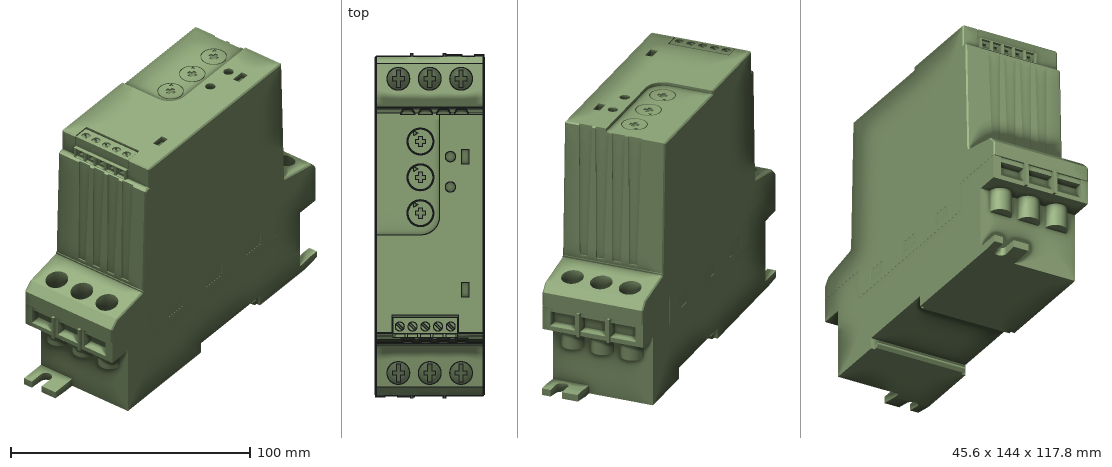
import cadquery as cq
import math

width = 45.6
length = 144.0
height = 117.8
half_width = width / 2
overrun = 1.5

seam_step = 0.07
base_width = width - 2 * seam_step
base_half_length = 59.8
base_top = 42.5
ledge_bottom = 31.7
ledge_half_length = 70.5

edge_chamfer = 0.6
skirt_bottom = 29.2
skirt_half_length = 42.6
skirt_corner_radius = 0.7
housing_half_length = 71.0
nose_bottom = 49.0
nose_top = 52.4
nose_front_y = -67.2
nose_rear_y = 68.0
shoulder_height = 55.9
shoulder_half_length = 49.2
plinth_top = 56.6
plinth_half_length = 49.7
tower_taper = 1 / 30
shelf_height = 108.0
shelf_bevel_drop = 0.9
shelf_edge_y = -46.1
tower_front_y = -45.0


def tower_half_length(z):
    """Half length of the tapered tower at height z."""
    return shoulder_half_length - tower_taper * (z - shoulder_height)


def box(x_range, y_range, z_range):
    """Box given by its limits along each axis."""
    size = [high - low for low, high in (x_range, y_range, z_range)]
    corner = (x_range[0], y_range[0], z_range[0])
    return cq.Workplane("XY").box(*size, centered=False).translate(corner)


def side_profile(points, x_min, x_max):
    """Closed outline of (y, z) points extruded from x_min to x_max."""
    return cq.Workplane("YZ", origin=(x_min, 0, 0)).polyline(points).close().extrude(x_max - x_min)


def post(x, y, radius, z_min, z_max):
    """Upright cylinder."""
    return cq.Workplane("XY", origin=(x, y, z_min)).circle(radius).extrude(z_max - z_min)


def cross(x, y, x_length, y_length, arm_width, z_min, z_max):
    """Plus-shaped upright prism."""
    half_x = x_length / 2
    half_y = y_length / 2
    half_arm = arm_width / 2
    along_x = box((x - half_x, x + half_x), (y - half_arm, y + half_arm), (z_min, z_max))
    along_y = box((x - half_arm, x + half_arm), (y - half_y, y + half_y), (z_min, z_max))
    return along_x.union(along_y)


def housing_body():
    top_bevel = height - edge_chamfer
    shelf_bevel = shelf_height - shelf_bevel_drop
    outline = [
        (-skirt_half_length, skirt_bottom),
        (skirt_half_length, skirt_bottom),
        (skirt_half_length, base_top),
        (housing_half_length, base_top),
        (housing_half_length, nose_bottom),
        (nose_rear_y, nose_top),
        (plinth_half_length, shoulder_height),
        (plinth_half_length, plinth_top),
        (tower_half_length(plinth_top), plinth_top),
        (tower_half_length(top_bevel), top_bevel),
        (tower_half_length(height) - edge_chamfer, height),
        (tower_front_y + edge_chamfer, height),
        (tower_front_y, top_bevel),
        (tower_front_y, shelf_height),
        (shelf_edge_y, shelf_height),
        (-tower_half_length(shelf_bevel), shelf_bevel),
        (-tower_half_length(plinth_top), plinth_top),
        (-plinth_half_length, plinth_top),
        (-plinth_half_length, shoulder_height),
        (nose_front_y, nose_top),
        (-housing_half_length, nose_bottom),
        (-housing_half_length, base_top),
        (-skirt_half_length, base_top),
    ]
    body = side_profile(outline, -half_width, half_width)
    return body.faces("<Z").edges("|X").fillet(skirt_corner_radius)


panel_floor = 116.2
panel_right = 4.2
panel_front = -3.7
panel_corner_radius = 7.9


def panel_recess():
    """Sunken setting panel, open to the -X and +Y sides."""
    panel = box((-width, panel_right), (panel_front, length), (panel_floor, height + overrun))
    return panel.edges("|Z and >X and <Y").fillet(panel_corner_radius)


def chamfer_outer_edges(body):
    """Bevel the side outline of the housing above the seam."""
    above_seam = cq.selectors.BoxSelector(
        (-width, -length, base_top + edge_chamfer), (width, length, height + overrun)
    )
    side_edges = body.faces("<X or >X").edges(above_seam)
    return side_edges.chamfer(edge_chamfer)


latch_size = (10.2, 5.5)
latch_height = 34.8
latch_pitch = 27.0


def latch_windows():
    """Barely sunken rectangles along both sides of the skirt."""
    cuts = cq.Workplane("XY")
    for row in (-1, 0, 1):
        y = row * latch_pitch
        y_range = (y - latch_size[0] / 2, y + latch_size[0] / 2)
        z_range = (latch_height - latch_size[1] / 2, latch_height + latch_size[1] / 2)
        cuts = cuts.union(box((-width, -base_width / 2), y_range, z_range))
        cuts = cuts.union(box((base_width / 2, width), y_range, z_range))
    return cuts


groove_count = 4
groove_pitch = 7.5
groove_middle_x = 2.0
groove_bottom = 58.0
groove_bottom_width = 3.6
groove_spread = 0.04
groove_depth = 0.6


def end_grooves():
    """Flared shallow grooves that follow the tapered end faces of the tower."""
    low = groove_bottom_width / 2
    high = low + groove_spread * (height - groove_bottom) / 2
    flared = cq.Workplane("XY")
    for index in range(groove_count):
        x = groove_middle_x + (index - (groove_count - 1) / 2) * groove_pitch
        outline = [
            (x - low, groove_bottom),
            (x + low, groove_bottom),
            (x + high, height),
            (x - high, height),
        ]
        flared = flared.union(
            cq.Workplane("XZ", origin=(0, length / 2, 0)).polyline(outline).close().extrude(length)
        )
    core_low = tower_half_length(groove_bottom) - groove_depth
    core_high = tower_half_length(height) - groove_depth
    core = side_profile(
        [(-core_low, groove_bottom), (core_low, groove_bottom), (core_high, height), (-core_high, height)],
        -half_width, half_width,
    )
    return flared.cut(core)


knob_x = -3.9
knob_middle_y = 20.3
knob_pitch = 15.0
knob_radius = 5.6
knob_gap = 0.5
knob_cut_depth = 0.7
knob_cross = 4.3
knob_cross_arm = 1.7
pointer_radius = 4.2
pointer_angle = 123
pointer_size = 2.3


def knob_cuts():
    cuts = cq.Workplane("XY")
    bottom = panel_floor - knob_cut_depth
    for row in (-1, 0, 1):
        y = knob_middle_y + row * knob_pitch
        ring = post(knob_x, y, knob_radius, bottom, panel_floor)
        ring = ring.cut(post(knob_x, y, knob_radius - knob_gap, bottom, panel_floor))
        pointer_x = knob_x + pointer_radius * math.cos(math.radians(pointer_angle))
        pointer_y = y + pointer_radius * math.sin(math.radians(pointer_angle))
        pointer = cq.Workplane("XY", origin=(pointer_x, pointer_y, bottom))
        pointer = pointer.transformed(rotate=(0, 0, pointer_angle)).polygon(3, pointer_size)
        cuts = cuts.union(ring)
        cuts = cuts.union(pointer.extrude(knob_cut_depth))
        cuts = cuts.union(
            cross(knob_x, y, knob_cross, knob_cross, knob_cross_arm, bottom, panel_floor)
        )
    return cuts


top_cut_depth = 2.9
lamp_x = 8.6
lamp_ys = (29.0, 16.3)
lamp_radius = 2.2
slot_x_range = (13.2, 16.4)
slot_length = 6.0
slot_ys = (29.0, -26.6)


def top_openings():
    bottom = height - top_cut_depth
    cuts = cq.Workplane("XY")
    for y in lamp_ys:
        cuts = cuts.union(post(lamp_x, y, lamp_radius, bottom, height))
    for y in slot_ys:
        cuts = cuts.union(box(slot_x_range, (y - slot_length / 2, y + slot_length / 2), (bottom, height)))
    return cuts


block_pocket_x = (-15.8, 12.0)
block_pocket_back = -37.3
block_x = (-15.4, 11.7)
block_back = -38.3
block_top = 117.5
block_step = 112.8
block_front = -46.7
wire_count = 5
wire_pitch = 5.3
wire_height = 110.3
wire_steps = ((4.2, 1.5), (1.9, 2.9))
block_screw_y = -42.0
block_screw_radius = 1.9
block_screw_depth = 0.7
screw_slot_width = 0.9
screw_slot_angle = -45


def block_pocket():
    return box(block_pocket_x, (-length / 2, block_pocket_back), (shelf_height, height + overrun))


def terminal_block():
    block = box(block_x, (tower_front_y, block_back), (shelf_height, block_top))
    block = block.union(box(block_pocket_x, (tower_front_y, block_pocket_back), (shelf_height, block_step)))
    block = block.union(box(block_x, (block_front, tower_front_y), (shelf_height, block_step)))
    middle_x = (block_x[0] + block_x[1]) / 2
    for index in range(wire_count):
        x = middle_x + (index - (wire_count - 1) / 2) * wire_pitch
        for size, depth in wire_steps:
            half = size / 2
            block = block.cut(box(
                (x - half, x + half),
                (block_front, block_front + depth),
                (wire_height - half, wire_height + half),
            ))
        screw_floor = block_top - block_screw_depth
        block = block.cut(post(x, block_screw_y, block_screw_radius, screw_floor, block_top))
        slot = cq.Workplane("XY", origin=(x, block_screw_y, screw_floor - block_screw_depth))
        slot = slot.transformed(rotate=(0, 0, screw_slot_angle))
        slot = slot.rect(2 * block_screw_radius, screw_slot_width)
        block = block.cut(slot.extrude(block_screw_depth))
    return block


screw_pitch = 13.1
screw_y = 61.5
screw_radius = 4.8
screw_seat = 42.9
screw_dome_height = 0.9
screw_dome_radius = (screw_radius**2 + screw_dome_height**2) / (2 * screw_dome_height)
screw_cross_x = 4.9
screw_cross_y = 7.3
screw_cross_arm = 1.7
screw_cross_floor = 42.6


def screw_head(x, y):
    head = (
        cq.Workplane("XZ")
        .moveTo(0, screw_seat)
        .lineTo(screw_radius, screw_seat)
        .radiusArc((0, screw_seat + screw_dome_height), -screw_dome_radius)
        .close()
        .revolve(360, (0, 0, 0), (0, 1, 0))
    )
    return head.translate((x, y, 0))


def cut_terminal_screws(body):
    for y in (-screw_y, screw_y):
        for column in (-1, 0, 1):
            x = column * screw_pitch
            body = body.cut(post(x, y, screw_radius, screw_seat, shoulder_height))
            body = body.union(screw_head(x, y))
            body = body.cut(cross(
                x, y, screw_cross_x, screw_cross_y, screw_cross_arm,
                screw_cross_floor, screw_seat + screw_dome_height,
            ))
    return body


rail_y = (-9.0, 32.0)
rail_depth = 4.9
hook_inset = 1.9
hook_height = 2.0
hook_length = 2.6
hook_tip = 0.7

clamp_pitch = 13.4
clamp_radius = 5.0
clamp_bottom = 21.5


def base_body():
    half = base_width / 2
    body = box((-half, half), (-base_half_length, base_half_length), (0, base_top))
    body = body.union(
        box((-half, half), (-ledge_half_length, ledge_half_length), (ledge_bottom, base_top))
    )
    for y in (-base_half_length, base_half_length):
        for column in (-1, 0, 1):
            body = body.union(post(column * clamp_pitch, y, clamp_radius, clamp_bottom, ledge_bottom))
    return body


def rail_channel():
    """Channel for the mounting rail, less the hook on each of its walls."""
    channel = box((-width, width), rail_y, (0, rail_depth))
    hook_half = half_width - hook_inset
    for wall, direction in ((rail_y[0], 1), (rail_y[1], -1)):
        tip = wall + direction * hook_length
        heel = tip - direction * (hook_height - hook_tip)
        hook = side_profile(
            [(wall, 0), (heel, 0), (tip, hook_height - hook_tip), (tip, hook_height), (wall, hook_height)],
            -hook_half, hook_half,
        )
        channel = channel.cut(hook)
    return channel


window_pitch = 13.7
window_width = 11.2
window_z = (33.7, 40.3)
window_depth = 4.6
lintel_depth = 0.5
fin_width = 1.2


def cut_wire_windows(body):
    """Openings in the +Y and -Y ledges, with a fin beside the first two of each row."""
    def place(x_range, depth_range, z_range):
        front = box(x_range, (-depth_range[1], -depth_range[0]), z_range)
        return front.union(front.mirror("XZ"))

    for column in (-1, 0, 1):
        x = column * window_pitch
        x_range = (x - window_width / 2, x + window_width / 2)
        outer = ledge_half_length
        body = body.cut(place(x_range, (outer - window_depth, outer), window_z))
        body = body.cut(place(x_range, (outer - lintel_depth, outer), (window_z[1], base_top)))
    for column in (-1, 0):
        fin_x = column * window_pitch + window_width / 2
        body = body.union(place(
            (fin_x, fin_x + fin_width), (ledge_half_length - window_depth, length / 2),
            (ledge_bottom, base_top),
        ))
    return body


foot_width = 16.4
foot_slot_x = 16.1
foot_slot_y = 65.1
foot_slot_radius = 2.6
foot_thickness = 3.6
front_foot_end = 71.4
front_foot_bend = 64.8
front_foot_rise = 0.5
rear_foot_end = 71.5
rear_foot_bend = 63.0
rear_foot_rise = 1.5
rear_foot_pad = 67.5
rear_foot_tip_top = 4.5
foot_overlap = 2.2
foot_root = base_half_length - foot_overlap


def mounting_foot(outline, side):
    """Slotted foot; side is -1 for the front -X corner and 1 for the rear +X corner."""
    outer = side * base_width / 2
    inner = side * (half_width - foot_width)
    foot = side_profile(outline, min(outer, inner), max(outer, inner))
    x = side * foot_slot_x
    y = side * foot_slot_y
    slot = post(x, y, foot_slot_radius, 0, rear_foot_tip_top)
    x_range = (x - foot_slot_radius, x + foot_slot_radius)
    mouth = sorted((y, side * length / 2))
    slot = slot.union(box(x_range, mouth, (0, rear_foot_tip_top)))
    return foot.cut(slot)


def front_foot():
    outline = [
        (-foot_root, 0),
        (-front_foot_bend, 0),
        (-front_foot_end, front_foot_rise),
        (-front_foot_end, foot_thickness),
        (-foot_root, foot_thickness),
    ]
    return mounting_foot(outline, -1)


def rear_foot():
    outline = [
        (foot_root, 0),
        (rear_foot_bend, 0),
        (rear_foot_end, rear_foot_rise),
        (rear_foot_end, rear_foot_tip_top),
        (rear_foot_pad, rear_foot_tip_top),
        (base_half_length, foot_thickness),
        (foot_root, foot_thickness),
    ]
    return mounting_foot(outline, 1)


housing = housing_body().cut(panel_recess())
housing = chamfer_outer_edges(housing)
housing = housing.cut(latch_windows())
housing = housing.cut(end_grooves())
housing = housing.cut(knob_cuts())
housing = housing.cut(top_openings())
housing = housing.cut(block_pocket())
housing = housing.union(terminal_block())

base = base_body().cut(rail_channel())
base = cut_wire_windows(base)
base = base.union(front_foot())
base = base.union(rear_foot())

result = cut_terminal_screws(housing.union(base))